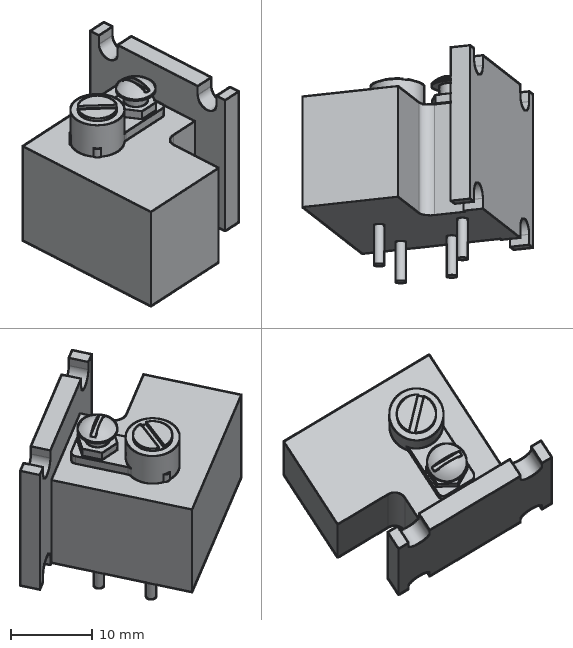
import cadquery as cq
import math


TOTAL_WIDTH = 26.03
TOTAL_DEPTH = 20.56

PLATE_WIDTH = 22.2
PLATE_HEIGHT = 19.7
PLATE_THICKNESS = 2.52
SLOT_WIDTH = 3.07
SLOT_DEPTH = 2.86
SLOT_SPACING = 16.25

BLOCK_LEFT = 4.95
BLOCK_HEIGHT = 14.2
LEG_WIDTH = 12.25
NOTCH_FRONT_Y = -8.02
NOTCH_RADIUS = 1.5

ADJUSTER_X = PLATE_WIDTH / 2
SCREW_Y = -6.59
COLLAR_Y = -13.67

PAD_WIDTH = 5.08
PAD_BACK_Y = -3.8
PAD_FRONT_Y = -16.45
PAD_THICKNESS = 1.28
PAD_FILLET = 0.7

COLLAR_RADIUS = 3.33
COLLAR_HEIGHT = 4.75
ROTOR_RADIUS = 2.42
ROTOR_PROTRUSION = 0.4
ROTOR_SLOT_WIDTH = 0.75
ROTOR_SLOT_ANGLE = 45.0

NUT_CORNER_RADIUS = 2.55
NUT_TOP = 2.47
SHANK_RADIUS = 1.5
HEAD_RADIUS = 2.45
HEAD_BOTTOM = 4.05
RIM_HEIGHT = 0.2
DOME_HEIGHT = 1.05
HEAD_SLOT_WIDTH = 0.65
HEAD_SLOT_DEPTH = 0.65

PIN_RADIUS = 0.65
PIN_LENGTH = 5.08
PIN_PLACES = [(7.9, -7.73), (7.9, -14.42), (14.37, -3.9), (15.5, -14.42)]


def make_plate():
    """Plate with a round-ended open slot near each of its four corners."""
    plate = cq.Workplane("XY").box(PLATE_WIDTH, PLATE_THICKNESS, PLATE_HEIGHT, centered=False)
    plate = plate.translate((0, -PLATE_THICKNESS, 0))
    cutters = (
        cq.Workplane("XZ")
        .center(PLATE_WIDTH / 2, PLATE_HEIGHT / 2)
        .rarray(SLOT_SPACING, PLATE_HEIGHT, 2, 2)
        .slot2D(2 * SLOT_DEPTH, SLOT_WIDTH, 90)
        .extrude(PLATE_THICKNESS)
    )
    return plate.cut(cutters)


def make_block():
    """L-shaped block with a rounded inner corner."""
    leg_right = BLOCK_LEFT + LEG_WIDTH
    return (
        cq.Workplane("XY")
        .moveTo(BLOCK_LEFT, -TOTAL_DEPTH)
        .lineTo(TOTAL_WIDTH, -TOTAL_DEPTH)
        .lineTo(TOTAL_WIDTH, NOTCH_FRONT_Y)
        .lineTo(leg_right + NOTCH_RADIUS, NOTCH_FRONT_Y)
        .radiusArc((leg_right, NOTCH_FRONT_Y + NOTCH_RADIUS), NOTCH_RADIUS)
        .lineTo(leg_right, -PLATE_THICKNESS)
        .lineTo(BLOCK_LEFT, -PLATE_THICKNESS)
        .close()
        .extrude(BLOCK_HEIGHT)
    )


def upright_cylinder(y, radius, bottom, height):
    """Cylinder on the middle line of the adjuster; bottom is measured from the top of the block."""
    return (
        cq.Workplane("XY", origin=(ADJUSTER_X, y, BLOCK_HEIGHT + bottom))
        .circle(radius)
        .extrude(height)
    )


def make_pad():
    """Flat pad with rounded corners."""
    return (
        cq.Workplane("XY", origin=(ADJUSTER_X, (PAD_BACK_Y + PAD_FRONT_Y) / 2, BLOCK_HEIGHT))
        .rect(PAD_WIDTH, PAD_BACK_Y - PAD_FRONT_Y)
        .extrude(PAD_THICKNESS)
        .edges("|Z")
        .fillet(PAD_FILLET)
    )


def make_pad_blends():
    """Hollow fillets between the long pad sides and the back of the collar."""
    center_dx = PAD_WIDTH / 2 + PAD_FILLET
    center_distance = COLLAR_RADIUS + PAD_FILLET
    center_dy = math.sqrt(center_distance**2 - center_dx**2)
    touch_share = COLLAR_RADIUS / center_distance
    right_blend = (
        cq.Workplane("XY")
        .moveTo(0, 0)
        .lineTo(center_dx * touch_share, center_dy * touch_share)
        .radiusArc((PAD_WIDTH / 2, center_dy), PAD_FILLET)
        .lineTo(0, center_dy)
        .close()
        .extrude(PAD_THICKNESS)
    )
    both_blends = right_blend.union(right_blend.mirror("YZ"))
    return both_blends.translate((ADJUSTER_X, COLLAR_Y, BLOCK_HEIGHT))


def make_nut():
    """Hexagonal nut with two flats parallel to the long pad sides."""
    return (
        cq.Workplane("XY", origin=(ADJUSTER_X, SCREW_Y, BLOCK_HEIGHT + PAD_THICKNESS))
        .transformed(rotate=(0, 0, 90))
        .polygon(6, 2 * NUT_CORNER_RADIUS)
        .extrude(NUT_TOP - PAD_THICKNESS)
    )


def make_screw():
    """Round shank with a domed head and a straight driver slot along X."""
    rim_top = HEAD_BOTTOM + RIM_HEIGHT
    head_top = rim_top + DOME_HEIGHT
    sphere_radius = (HEAD_RADIUS**2 + DOME_HEIGHT**2) / (2 * DOME_HEIGHT)
    head = (
        cq.Workplane("XZ")
        .moveTo(0, HEAD_BOTTOM)
        .lineTo(HEAD_RADIUS, HEAD_BOTTOM)
        .lineTo(HEAD_RADIUS, rim_top)
        .radiusArc((0, head_top), -sphere_radius)
        .close()
        .revolve(360, (0, 0, 0), (0, 1, 0))
    )
    slot = (
        cq.Workplane("XY", origin=(0, 0, head_top - HEAD_SLOT_DEPTH))
        .rect(2 * HEAD_RADIUS, HEAD_SLOT_WIDTH)
        .extrude(HEAD_SLOT_DEPTH)
    )
    slotted_head = head.cut(slot).translate((ADJUSTER_X, SCREW_Y, BLOCK_HEIGHT))
    shank = upright_cylinder(SCREW_Y, SHANK_RADIUS, NUT_TOP, HEAD_BOTTOM - NUT_TOP)
    return shank.union(slotted_head)


def make_pins():
    """Round pins hanging from the bottom of the block."""
    return cq.Workplane("XY").pushPoints(PIN_PLACES).circle(PIN_RADIUS).extrude(-PIN_LENGTH)


def make_housing():
    """Plate, block, pad, collar, nut, screw and pins as one solid, with an open bore for the rotor."""
    housing = make_plate().union(make_block())
    housing = housing.union(make_pad()).union(make_pad_blends())
    housing = housing.union(upright_cylinder(COLLAR_Y, COLLAR_RADIUS, 0, COLLAR_HEIGHT))
    housing = housing.union(make_nut()).union(make_screw()).union(make_pins())
    return housing.cut(upright_cylinder(COLLAR_Y, ROTOR_RADIUS, 0, COLLAR_HEIGHT))


def make_rotor():
    """Rotor that fills the collar bore; its driver slot is as deep as its protrusion."""
    rotor = upright_cylinder(COLLAR_Y, ROTOR_RADIUS, 0, COLLAR_HEIGHT + ROTOR_PROTRUSION)
    slot = (
        cq.Workplane("XY", origin=(ADJUSTER_X, COLLAR_Y, BLOCK_HEIGHT + COLLAR_HEIGHT))
        .transformed(rotate=(0, 0, ROTOR_SLOT_ANGLE))
        .rect(2 * ROTOR_RADIUS, ROTOR_SLOT_WIDTH)
        .extrude(ROTOR_PROTRUSION)
    )
    return rotor.cut(slot)


housing = make_housing()
rotor = make_rotor()

result = cq.Compound.makeCompound([housing.val(), rotor.val()])